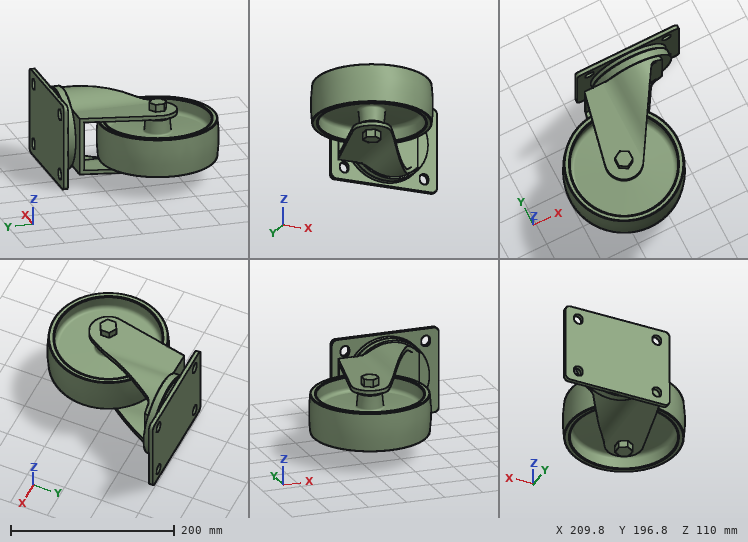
import cadquery as cq
import math


wheel_radius = 74.9
wheel_edge_radius = 73.5
wheel_half_width = 25.0
rim_edge_chamfer = 1.0
rim_bore_radius = 67.5
rim_step_radius = 66.0
rim_step_depth = 1.0
web_hub_half_thickness = 7.8
web_rim_half_thickness = 5.7
web_fillet = 5.2
hub_base_radius = 16.4
hub_end_radius = 14.9
hub_half_width = 28.5
hub_fillet = 2.5
seal_radius = 15.0
seal_thickness = 1.7

spacer_diameter = 20.0
bolt_across_flats = 19.0
bolt_half_length = 46.2

plate_length = 140.1
plate_height = 110.0
plate_thickness = 5.2
plate_corner_radius = 6.5
plate_back_y = 121.9
plate_front_y = plate_back_y - plate_thickness
slot_width = 11.5
slot_height = 13.8
slot_spacing_x = 105.7
slot_spacing_z = 78.0

swivel_x = 64.8
swivel_radius = 103.0 / 2
groove_radius = 50.3
fork_top_y = 101.0
race_chamfer_height = 1.5
race_height = 11.0

fork_thickness = 5.2
fork_base_thickness = 5.5
leg_outer_z = 36.7
leg_end_radius = 23.7
leg_bend_x = 21.5
fork_bulge_radius = 49.0
fork_front_x = 100.7
fork_rear_x = -3.0
leg_edge_corner_x = 86.2
leg_edge_fillet = 9.9


def recess_tool():
    """Ring removed from the +Z face to leave the rim, the coned web and the drafted hub."""
    return (
        cq.Workplane("XZ")
        .moveTo(wheel_edge_radius - rim_edge_chamfer, hub_half_width)
        .lineTo(wheel_edge_radius - rim_edge_chamfer, wheel_half_width)
        .lineTo(rim_bore_radius, wheel_half_width)
        .lineTo(rim_bore_radius, wheel_half_width - rim_step_depth)
        .lineTo(rim_step_radius, wheel_half_width - rim_step_depth)
        .lineTo(rim_step_radius, web_rim_half_thickness + web_fillet)
        .radiusArc((rim_step_radius - web_fillet, web_rim_half_thickness), web_fillet)
        .lineTo(hub_base_radius + hub_fillet, web_hub_half_thickness)
        .radiusArc((hub_base_radius, web_hub_half_thickness + hub_fillet), hub_fillet)
        .lineTo(hub_end_radius, hub_half_width - seal_thickness)
        .lineTo(seal_radius, hub_half_width - seal_thickness)
        .lineTo(seal_radius, hub_half_width)
        .close()
        .revolve(360, (0, 0, 0), (0, 1, 0))
    )


def make_wheel():
    """Crowned wheel with chamfered rim edges, recessed on both faces."""
    edge_z = wheel_half_width - rim_edge_chamfer
    face_radius = wheel_edge_radius - rim_edge_chamfer
    blank = (
        cq.Workplane("XZ")
        .moveTo(0, -hub_half_width)
        .lineTo(face_radius, -hub_half_width)
        .lineTo(face_radius, -wheel_half_width)
        .lineTo(wheel_edge_radius, -edge_z)
        .threePointArc((wheel_radius, 0), (wheel_edge_radius, edge_z))
        .lineTo(face_radius, wheel_half_width)
        .lineTo(face_radius, hub_half_width)
        .lineTo(0, hub_half_width)
        .close()
        .revolve(360, (0, 0, 0), (0, 1, 0))
    )
    recess = recess_tool()
    return blank.cut(recess).cut(recess.mirror("XY"))


def make_axle():
    """Spacer through the hub with a hexagonal head outside each fork leg."""
    corner_diameter = bolt_across_flats / math.cos(math.pi / 6)
    spacer = cq.Workplane("XY").circle(spacer_diameter / 2).extrude(leg_outer_z, both=True)
    heads = (
        cq.Workplane("XY")
        .transformed(rotate=(0, 0, 90))
        .polygon(6, corner_diameter)
        .extrude(bolt_half_length, both=True)
    )
    gap = cq.Workplane("XY").circle(corner_diameter).extrude(leg_outer_z, both=True)
    return spacer.union(heads.cut(gap))


def make_plate():
    """Rounded mounting plate with four slotted bolt holes."""
    plate = (
        cq.Workplane("XZ", origin=(swivel_x, plate_back_y, 0))
        .rect(plate_length, plate_height)
        .extrude(plate_thickness)
        .edges("|Y")
        .fillet(plate_corner_radius)
    )
    slots = (
        cq.Workplane("XZ", origin=(swivel_x, plate_back_y, 0))
        .rect(slot_spacing_x, slot_spacing_z, forConstruction=True)
        .vertices()
        .slot2D(slot_height, slot_width, 90)
        .extrude(plate_thickness)
    )
    return plate.cut(slots)


def make_swivel():
    """Two bearing races separated by a shallow groove."""
    groove_y = fork_top_y + race_height
    return (
        cq.Workplane("XY", origin=(swivel_x, 0, 0))
        .moveTo(0, fork_top_y)
        .lineTo(swivel_radius, fork_top_y)
        .lineTo(swivel_radius, groove_y - race_chamfer_height)
        .lineTo(groove_radius, groove_y)
        .lineTo(groove_radius, groove_y + race_chamfer_height / 2)
        .lineTo(swivel_radius, plate_front_y)
        .lineTo(0, plate_front_y)
        .close()
        .revolve(360, (0, 0, 0), (0, 1, 0))
    )


def fork_section(inset, bottom_y, top_y):
    """Prism of the fork's XZ outline: flat flanks, tangent bends, round bulge."""
    flank_z = leg_outer_z - inset
    bulge_radius = fork_bulge_radius - inset
    span = swivel_x - leg_bend_x
    bend_radius = (span**2 + flank_z**2 - bulge_radius**2) / (2 * (bulge_radius - flank_z))
    bend_center_z = flank_z + bend_radius
    share = bend_radius / (bend_radius + bulge_radius)
    join_x = leg_bend_x + share * span
    join_z = bend_center_z * (1 - share)
    front_z = math.sqrt(bulge_radius**2 - (fork_front_x - swivel_x) ** 2)
    half = (
        cq.Workplane("XZ", origin=(0, top_y, 0))
        .moveTo(-leg_end_radius, 0)
        .lineTo(-leg_end_radius, flank_z)
        .lineTo(leg_bend_x, flank_z)
        .radiusArc((join_x, join_z), -bend_radius)
        .threePointArc((swivel_x, bulge_radius), (fork_front_x, front_z))
        .lineTo(fork_front_x, 0)
        .close()
        .extrude(top_y - bottom_y)
    )
    return half.union(half.mirror("XY"))


def tangent_point(x, y, side):
    """Point on the leg's end circle touched by a line from (x, y)."""
    angle = math.atan2(y, x) + side * math.acos(leg_end_radius / math.hypot(x, y))
    return leg_end_radius * math.cos(angle), leg_end_radius * math.sin(angle)


def make_fork():
    """Bent fork: the hollowed section trimmed to the outline of its legs."""
    base_y = fork_top_y - fork_base_thickness
    rear_tangent = tangent_point(fork_rear_x, fork_top_y, 1)
    front_tangent = tangent_point(leg_edge_corner_x, base_y, -1)
    slope = math.atan2(base_y - front_tangent[1], leg_edge_corner_x - front_tangent[0])
    setback = leg_edge_fillet * math.tan(slope / 2)
    fillet_start = (
        leg_edge_corner_x - setback * math.cos(slope),
        base_y - setback * math.sin(slope),
    )
    side_outline = (
        cq.Workplane("XY")
        .moveTo(fork_rear_x, fork_top_y)
        .lineTo(*rear_tangent)
        .threePointArc((0, -leg_end_radius), front_tangent)
        .lineTo(*fillet_start)
        .radiusArc((leg_edge_corner_x + setback, base_y), leg_edge_fillet)
        .lineTo(fork_front_x, base_y)
        .lineTo(fork_front_x, fork_top_y)
        .close()
        .extrude(fork_bulge_radius, both=True)
    )
    outside = fork_section(0, -leg_end_radius, fork_top_y)
    inside = fork_section(fork_thickness, -leg_end_radius, base_y)
    return outside.cut(inside).intersect(side_outline)


result = make_plate().union(make_swivel()).union(make_fork()).union(make_wheel()).union(make_axle())